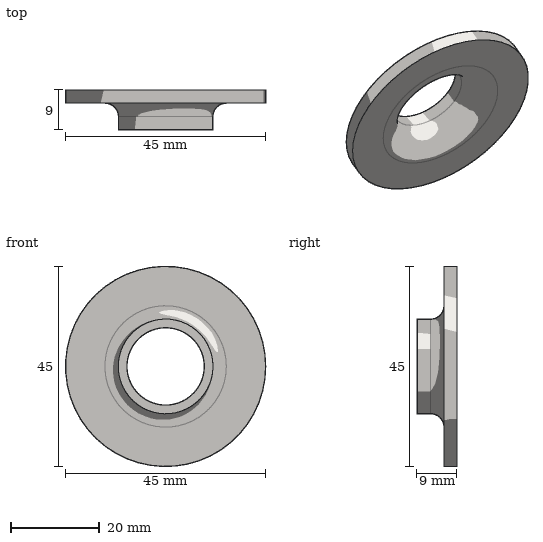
import cadquery as cq

total_length = 9.0
flange_diameter = 45.0
flange_thickness = total_length / 3
neck_diameter = 21.3
bore_diameter = 17.32
root_radius = flange_thickness
mouth_radius = flange_thickness + root_radius

flange_radius = flange_diameter / 2
neck_radius = neck_diameter / 2
bore_radius = bore_diameter / 2

back_y = total_length / 2
flange_front_y = back_y - flange_thickness
neck_end_y = -total_length / 2


def revolved_ring():
    """Flange and neck as one half section turned about the Y axis."""
    section = (
        cq.Workplane("XY")
        .moveTo(bore_radius, neck_end_y)
        .lineTo(neck_radius, neck_end_y)
        .lineTo(neck_radius, flange_front_y - root_radius)
        .radiusArc((neck_radius + root_radius, flange_front_y), root_radius)
        .lineTo(flange_radius, flange_front_y)
        .lineTo(flange_radius, back_y)
        .lineTo(bore_radius + mouth_radius, back_y)
        .radiusArc((bore_radius, back_y - mouth_radius), -mouth_radius)
        .close()
    )
    return section.revolve(360, (0, 0, 0), (0, 1, 0))


result = revolved_ring()